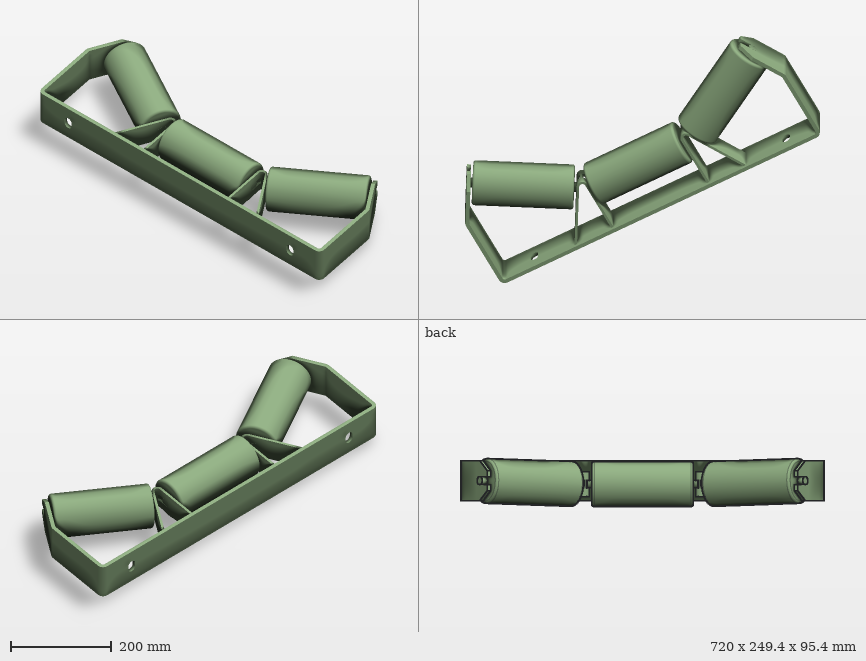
import cadquery as cq
import math

frame_length = 720.0
strap_thickness = 8.0
strap_height = 80.0
bend_radius = 13.0
wall_depth = 155.0
flap_angle = 30.0
flap_length = 104.5
tip_chamfer_length = 30.0
tip_chamfer_height = 20.0

mount_slot_spacing = 566.0
mount_slot_width = 17.0
mount_slot_height = 27.0

roller_diameter = 89.0
roller_length = 201.5
roller_edge_fillet = 5.0
roller_gap = 4.0
shaft_width = 20.0
shaft_across_flats = 15.0
shaft_end_recess = 1.0
centre_axis_y = 101.0
centre_axis_z = 33.0
side_axis_rise = 74.0

bracket_thickness = 5.0
bracket_height = 50.0
bracket_top_y = 128.0
bracket_bend_radius = 11.5
slot_reach = 57.5
slot_overrun = 1.5

half_length = frame_length / 2
strap_mid_z = strap_height / 2
sin_flap = math.sin(math.radians(flap_angle))
cos_flap = math.cos(math.radians(flap_angle))
tan_flap = sin_flap / cos_flap
bracket_face_x = roller_length / 2 + roller_gap
bracket_fold_x = bracket_face_x + bracket_bend_radius
bracket_fold_y = bracket_top_y - bracket_bend_radius

flap_along = cq.Vector(sin_flap, cos_flap, 0)
flap_across = cq.Vector(cos_flap, -sin_flap, 0)
wall_corner = cq.Vector(-half_length, wall_depth, 0)
flap_tip = wall_corner + flap_along * flap_length
fold_centre = cq.Vector(-bracket_fold_x, bracket_fold_y, 0)

bracket_distance = (fold_centre - wall_corner).dot(flap_across) - bracket_bend_radius
shaft_span = bracket_distance + bracket_thickness
side_roller_distance = (strap_thickness + bracket_distance) / 2
side_drop_per_length = (strap_mid_z - centre_axis_z) / shaft_span


def both_sides(body):
    """Join a left-hand shape with its mirror image across the YZ plane."""
    return body.union(body.mirror("YZ"))


def strap():
    """Bent bar with its inclined flaps, bevelled at the tips."""
    t = strap_thickness
    inner_bend_radius = bend_radius - t
    back_corner = cq.Vector(-half_length, 0, 0)
    inner_back_corner = back_corner + cq.Vector(t, t, 0)
    mitre = t * math.tan(math.radians(flap_angle / 2))
    inner_wall_corner = wall_corner + cq.Vector(t, -mitre, 0)
    outline = [
        cq.Vector(0, 0, 0),
        back_corner,
        wall_corner,
        flap_tip,
        flap_tip + flap_across * t,
        inner_wall_corner,
        inner_back_corner,
        cq.Vector(0, t, 0),
    ]
    half = cq.Workplane("XY").polyline([p.toTuple()[:2] for p in outline]).close().extrude(strap_height)
    bends = [
        (back_corner, bend_radius),
        (inner_back_corner, inner_bend_radius),
        (wall_corner, bend_radius),
        (inner_wall_corner, inner_bend_radius),
    ]
    for corner, radius in bends:
        middle = (corner.x, corner.y, strap_mid_z)
        half = half.edges("|Z").edges(cq.selectors.NearestToPointSelector(middle)).fillet(radius)
    return both_sides(half.cut(tip_corners()))


def tip_corners():
    """Triangular wedges that bevel the upper and lower corner of the left flap's tip."""
    flap_plane = cq.Plane(origin=flap_tip, xDir=flap_along, normal=flap_across)
    wedges = cq.Workplane(flap_plane)
    toward_middle = flap_plane.yDir.z
    corners = [(0, toward_middle), (strap_height * toward_middle, -toward_middle)]
    for edge, inward in corners:
        wedges = (
            wedges.moveTo(-tip_chamfer_length, edge)
            .lineTo(0, edge)
            .lineTo(0, edge + inward * tip_chamfer_height)
            .close()
        )
    return wedges.extrude(strap_thickness)


def mount_slots():
    return (
        cq.Workplane("XZ")
        .pushPoints([(x, strap_mid_z) for x in (-mount_slot_spacing / 2, mount_slot_spacing / 2)])
        .slot2D(mount_slot_height, mount_slot_width, 90)
        .extrude(-strap_thickness)
    )


def fold_point(radius, angle):
    """Point on an arc about the fold centre, measured from +X."""
    turn = math.radians(angle)
    return (fold_centre.x + radius * math.cos(turn), fold_centre.y + radius * math.sin(turn))


def leg_foot(radius):
    """Where the sloping face that leaves the fold arc of this radius meets the strap."""
    x, y = fold_point(radius, 180 - flap_angle)
    return (x - (y - strap_thickness) * tan_flap, strap_thickness)


def brackets():
    outer = bracket_bend_radius
    inner = outer - bracket_thickness
    leg_start = 180 - flap_angle
    left = (
        cq.Workplane("XY", origin=(0, 0, centre_axis_z - bracket_height / 2))
        .moveTo(fold_centre.x + outer, strap_thickness)
        .lineTo(*fold_point(outer, 0))
        .threePointArc(fold_point(outer, leg_start / 2), fold_point(outer, leg_start))
        .lineTo(*leg_foot(outer))
        .lineTo(*leg_foot(inner))
        .lineTo(*fold_point(inner, leg_start))
        .threePointArc(fold_point(inner, leg_start / 2), fold_point(inner, 0))
        .lineTo(fold_centre.x + inner, strap_thickness)
        .close()
        .extrude(bracket_height)
    )
    return both_sides(left)


def shaft(axis, back, front):
    """Shaft with two flats and rounded sides, along the normal of the axis plane from -back to front."""
    return (
        cq.Workplane(axis)
        .workplane(offset=-back)
        .slot2D(shaft_width, shaft_across_flats)
        .extrude(back + front)
    )


def shaft_slot(axis, back, front):
    """Cutter for slots that fit the shaft and run out along the X direction of the axis plane.

    It is a little longer than the shaft, so that a tilted slot still breaks through both faces.
    """
    back += slot_overrun
    front += slot_overrun
    opening = (
        cq.Workplane(axis)
        .workplane(offset=-back)
        .center(slot_reach / 2, 0)
        .rect(slot_reach, shaft_across_flats)
        .extrude(back + front)
    )
    return shaft(axis, back, front).union(opening)


def roller(axis, back, front):
    """Roller centred on the axis plane's origin, with its shaft."""
    shell = (
        cq.Workplane(axis)
        .workplane(offset=-roller_length / 2)
        .circle(roller_diameter / 2)
        .extrude(roller_length)
        .edges()
        .fillet(roller_edge_fillet)
    )
    return shell.union(shaft(axis, back, front))


def side_axis(side):
    """Plane square to a side roller's axis, X running up the flap; side is 1 for left, -1 for right."""
    centre = wall_corner + flap_along * side_axis_rise + flap_across * side_roller_distance
    height = strap_mid_z - side_drop_per_length * side_roller_distance
    return cq.Plane(
        origin=(side * centre.x, centre.y, height),
        xDir=(side * flap_along.x, flap_along.y, 0),
        normal=(side * flap_across.x, flap_across.y, -side_drop_per_length),
    )


side_shaft = (side_roller_distance, shaft_span - side_roller_distance)
side_axes = [side_axis(side) for side in (1, -1)]
centre_axis = cq.Plane(origin=(0, centre_axis_y, centre_axis_z), xDir=(0, 1, 0), normal=(1, 0, 0))
slot_half_span = bracket_face_x + bracket_thickness
centre_shaft_end = slot_half_span - shaft_end_recess

frame = strap().cut(mount_slots()).union(brackets())
for axis in side_axes:
    frame = frame.cut(shaft_slot(axis, *side_shaft))
frame = frame.cut(shaft_slot(centre_axis, slot_half_span, slot_half_span))
frame = frame.union(roller(centre_axis, centre_shaft_end, centre_shaft_end))

side_rollers = [roller(axis, *side_shaft) for axis in side_axes]

result = cq.Compound.makeCompound([frame.solids().val(), *[body.solids().val() for body in side_rollers]])